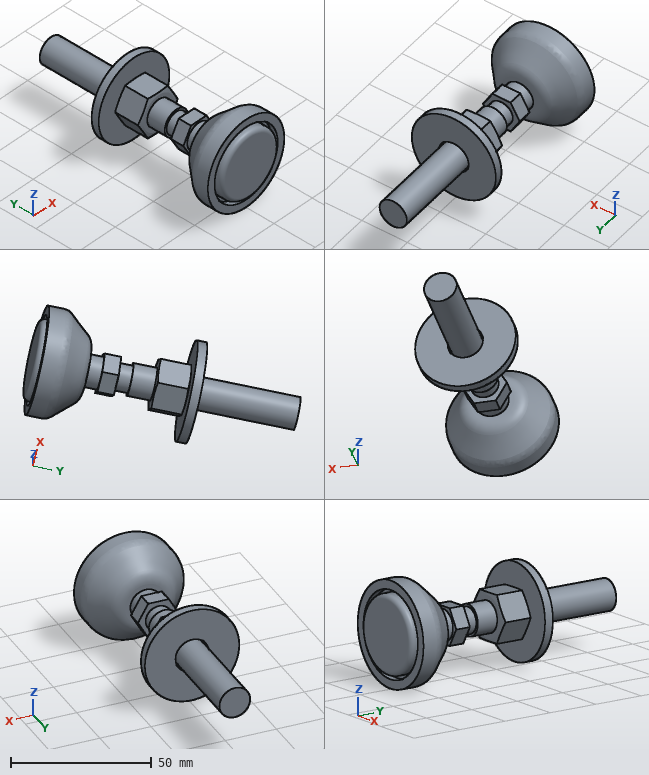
import cadquery as cq
import math


total_length = 97.0
foot_rim_y = 1.9
foot_top_y = 20.0
collar_end_y = 25.0
hex_end_y = 31.0
neck_end_y = 36.0
nut_start_y = 44.5
nut_height = 12.0
washer_thickness = 3.5
nut_end_y = nut_start_y + nut_height

foot_diameter = 40.0
foot_shoulder_y = 9.5
foot_top_edge_diameter = 21.7
foot_shoulder_fillet = 4.5
foot_top_fillet = 6.0
pad_diameter = 30.0
pad_fillet = 1.9
groove_diameter = 33.0
groove_depth = 3.0

stud_diameter = 12.0
neck_diameter = 10.1
hex_across_flats = 14.0

nut_across_flats = 18.0
nut_chamfer_diameter = 16.0
nut_chamfer_height = 0.5
washer_diameter = 37.0
washer_hole_diameter = 13.0


def cylinder(diameter, start_y, end_y):
    """Round bar along Y between two positions."""
    plane = cq.Workplane("XZ", origin=(0, start_y, 0))
    return plane.circle(diameter / 2).extrude(start_y - end_y)


def hexagon(across_flats, start_y, end_y):
    """Hexagonal bar along Y with two corners on the X axis."""
    across_corners = across_flats / math.cos(math.radians(30))
    plane = cq.Workplane("XZ", origin=(0, start_y, 0))
    return plane.polygon(6, across_corners).extrude(start_y - end_y)


def revolve_about_y(points):
    """Solid of revolution from (radius, y) points."""
    return cq.Workplane("XY").polyline(points).close().revolve(360, (0, 0, 0), (0, 1, 0))


def make_foot():
    """Conical foot with a rounded pad set inside a ring groove on its underside."""
    radius = foot_diameter / 2
    top_radius = foot_top_edge_diameter / 2
    shell = revolve_about_y([
        (0, foot_rim_y),
        (radius, foot_rim_y),
        (radius, foot_shoulder_y),
        (top_radius, foot_top_y),
        (0, foot_top_y),
    ])
    shell = shell.edges("%CIRCLE").edges(cq.selectors.CenterNthSelector(cq.Vector(0, 1, 0), 1))
    shell = shell.fillet(foot_shoulder_fillet)
    shell = shell.edges(">Y").fillet(foot_top_fillet)
    groove_floor_y = foot_rim_y + groove_depth
    shell = shell.cut(cylinder(groove_diameter, foot_rim_y, groove_floor_y))
    pad = cylinder(pad_diameter, 0, groove_floor_y).faces("<Y").edges().fillet(pad_fillet)
    return shell.union(pad)


def make_stud():
    """Stud with a plain shank, a narrow neck, a wrench hexagon and a collar resting on the foot."""
    collar = cylinder(stud_diameter, foot_top_y, collar_end_y)
    wrench_hex = hexagon(hex_across_flats, collar_end_y, hex_end_y)
    neck = cylinder(neck_diameter, hex_end_y, neck_end_y)
    shank = cylinder(stud_diameter, neck_end_y, total_length)
    return collar.union(wrench_hex).union(neck).union(shank)


def make_nut():
    """Hexagon nut with its corners chamfered at both ends."""
    chamfer_radius = nut_chamfer_diameter / 2
    corner_radius = nut_across_flats / 2 / math.cos(math.radians(30))
    envelope = revolve_about_y([
        (0, nut_start_y),
        (chamfer_radius, nut_start_y),
        (corner_radius, nut_start_y + nut_chamfer_height),
        (corner_radius, nut_end_y - nut_chamfer_height),
        (chamfer_radius, nut_end_y),
        (0, nut_end_y),
    ])
    blank = hexagon(nut_across_flats, nut_start_y, nut_end_y).intersect(envelope)
    return blank.cut(cylinder(stud_diameter, nut_start_y, nut_end_y))


def make_washer():
    """Flat washer with a clearance hole around the stud."""
    washer_end_y = nut_end_y + washer_thickness
    disc = cylinder(washer_diameter, nut_end_y, washer_end_y)
    return disc.cut(cylinder(washer_hole_diameter, nut_end_y, washer_end_y))


foot = make_foot()
stud = make_stud()
nut = make_nut()
washer = make_washer()

result = cq.Compound.makeCompound([foot.val(), stud.val(), nut.val(), washer.val()])